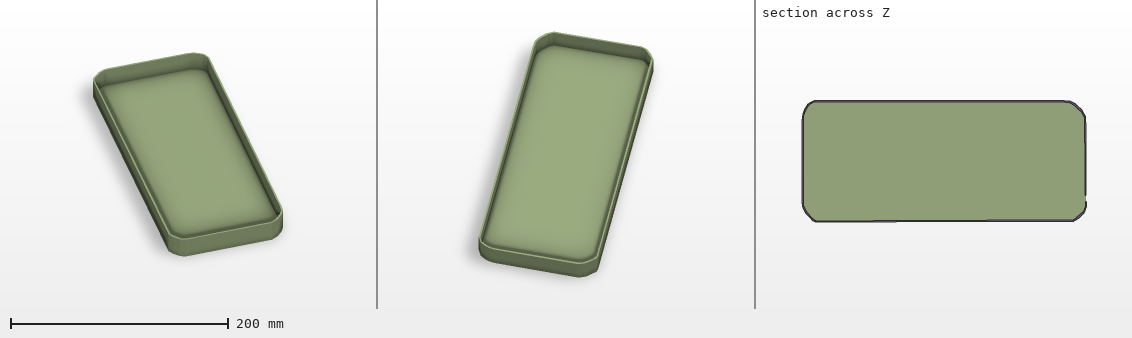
import cadquery as cq

length = 261.5
width = 112.0
height = 20.0
floor_thickness = 1.3

half_length = length / 2
half_width = width / 2

outer_outline = [
    (-119.2, half_width),
    (-125.3, 52.8),
    (-128.1, 48.5),
    (-130.0, 44.0),
    (-half_length, 38.2),
    (-half_length, -39.0),
    (-130.2, -42.0),
    (-127.5, -47.5),
    (-122.5, -53.0),
    (-120.8, -55.0),
    (-118.0, -half_width),
    (118.7, -55.5),
    (123.5, -52.5),
    (128.7, -47.5),
    (half_length, -42.0),
    (130.2, 40.5),
    (126.5, 47.3),
    (120.3, 53.0),
    (115.5, 55.5),
    (109.0, half_width),
]

cavity_outline = [
    (-119.5, 54.5),
    (-124.0, 52.0),
    (-126.0, 49.0),
    (-128.0, 45.5),
    (-129.0, 42.0),
    (-129.2, 38.5),
    (-129.0, -41.0),
    (-126.3, -46.3),
    (-121.9, -51.8),
    (-118.0, -54.7),
    (119.0, -53.5),
    (128.0, -46.0),
    (129.5, -41.8),
    (128.7, 40.3),
    (126.3, 44.7),
    (119.8, 51.0),
    (115.3, 53.5),
    (108.5, 54.5),
]


def prism(outline, bottom, top):
    """Extrude a closed polygon between two heights."""
    base = cq.Workplane("XY").workplane(offset=bottom)
    return base.polyline(outline).close().extrude(top - bottom)


body = prism(outer_outline, 0, height)
cavity = prism(cavity_outline, floor_thickness, height)
result = body.cut(cavity)